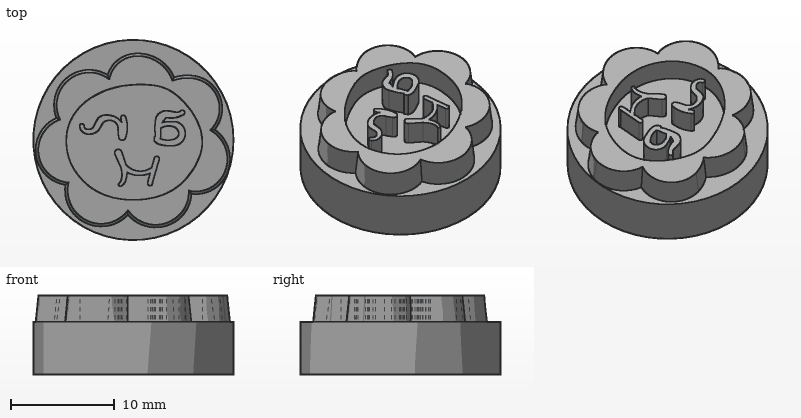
import cadquery as cq

BASE_DIAMETER = 19.3
BASE_HEIGHT = 5.08
TOTAL_HEIGHT = 7.62

FLOWER_HEIGHT = TOTAL_HEIGHT - BASE_HEIGHT
FLOWER_DRAFT = 6.0

POCKET_DEPTH = FLOWER_HEIGHT
POCKET_FLOOR = BASE_HEIGHT

PETALS = [
    ((-2.32, 5.83), (-1.55, 7.3), (0.04, 8.05)),
    ((3.76, 5.7), (4.8, 5.95), (5.87, 5.9)),
    ((7.41, 0.95), (8.97, -1.2), (8.6, -3.45)),
    ((5.3, -4.86), (5.23, -5.79), (4.88, -6.62)),
    ((-0.52, -6.77), (-5.02, -7.43), None),
    ((-6.23, -4.1), (-9.13, -1.35), None),
    ((-7.06, 1.97), (-6.33, 5.7), None),
]

POCKET_RIM = [
    (-6.47, -0.15), (-5.27, 3.05), (-2.7, 4.77), (0.5, 5.35), (3.35, 4.85), (4.86, 3.65),
    (6.06, 1.99), (6.64, -0.15), (5.89, -2.62), (3.85, -4.79), (0.0, -5.77), (-3.67, -4.86), (-5.75, -2.76),
]


def flower():
    first_notch = PETALS[0][0]
    next_notches = [petal[0] for petal in PETALS[1:]] + [first_notch]
    sketch = cq.Workplane("XY").workplane(offset=TOTAL_HEIGHT).moveTo(*first_notch)
    for (_, through, joint), next_notch in zip(PETALS, next_notches):
        if joint is None:
            sketch = sketch.threePointArc(through, next_notch)
        else:
            sketch = sketch.threePointArc(through, joint)
            sketch = sketch.tangentArcPoint(next_notch, relative=False)
    return sketch.close().extrude(-FLOWER_HEIGHT, taper=-FLOWER_DRAFT)


def pocket():
    rim = cq.Workplane("XY").workplane(offset=POCKET_FLOOR).spline(POCKET_RIM, periodic=True)
    return rim.close().extrude(POCKET_DEPTH)


def floor_sketch(start):
    return cq.Workplane("XY").workplane(offset=POCKET_FLOOR).moveTo(*start)


def left_eye():
    outline = (
        floor_sketch((-1.14, 1.72))
        .lineTo(-1.2, 2.1)
        .threePointArc((-0.95, 2.37), (-0.73, 2.15))
        .threePointArc((-0.58, 1.2), (-0.73, 0.29))
        .threePointArc((-1.05, -0.02), (-1.43, 0.37))
        .lineTo(-1.49, 0.98)
        .spline(
            [(-1.52, 1.39), (-1.81, 1.75), (-2.35, 1.9), (-2.85, 1.72), (-3.34, 0.95),
             (-3.76, 0.65), (-4.28, 0.55), (-4.79, 0.7), (-5.17, 1.27)],
            includeCurrent=True,
        )
        .threePointArc((-4.98, 1.56), (-4.75, 1.39))
        .spline(
            [(-4.61, 1.1), (-4.36, 1.02), (-3.92, 1.15), (-3.7, 1.52), (-3.34, 2.16),
             (-2.53, 2.41), (-1.81, 2.25), (-1.14, 1.72)],
            includeCurrent=True,
        )
    )
    return outline.close().extrude(POCKET_DEPTH)


def right_eye():
    outline = (
        floor_sketch((2.78, 1.68))
        .lineTo(3.15, 2.16)
        .spline([(4.25, 2.18), (4.79, 2.41)], includeCurrent=True)
        .threePointArc((4.82, 2.84), (4.54, 2.8))
        .spline([(4.25, 2.66), (3.65, 2.76), (3.07, 2.82), (2.41, 2.5), (2.12, 1.9)], includeCurrent=True)
        .threePointArc((2.07, 1.12), (2.12, 0.37))
        .lineTo(1.99, 0.25)
        .lineTo(2.03, -0.12)
        .spline([(2.41, -0.4), (3.15, -0.55), (3.95, -0.55)], includeCurrent=True)
        .threePointArc((5.0, 0.62), (3.95, 1.78))
        .lineTo(3.22, 1.78)
    )
    opening = (
        floor_sketch((2.65, 1.14))
        .spline([(3.07, 1.31), (3.51, 1.35), (3.98, 1.24), (4.36, 0.73), (4.01, 0.12)], includeCurrent=True)
        .threePointArc((3.3, -0.02), (2.6, 0.12))
    )
    return outline.close().extrude(POCKET_DEPTH).cut(opening.close().extrude(POCKET_DEPTH))


def mouth():
    outline = (
        floor_sketch((-0.7, -2.41))
        .threePointArc((0.52, -3.0), (1.75, -2.66))
        .lineTo(2.03, -1.72)
        .threePointArc((2.32, -1.58), (2.49, -1.85))
        .lineTo(1.83, -4.11)
        .threePointArc((1.58, -4.4), (1.37, -4.11))
        .lineTo(1.6, -3.2)
        .threePointArc((0.52, -3.42), (-0.6, -3.13))
        .spline([(-0.68, -3.65), (-0.8, -4.03), (-1.08, -4.36)], includeCurrent=True)
        .threePointArc((-1.27, -4.45), (-1.45, -4.27))
        .spline([(-1.15, -3.82), (-1.1, -3.25), (-1.2, -2.66)], includeCurrent=True)
        .lineTo(-1.78, -1.39)
        .threePointArc((-1.5, -0.9), (-1.12, -1.15))
    )
    return outline.close().extrude(POCKET_DEPTH)


base = cq.Workplane("XY").circle(BASE_DIAMETER / 2).extrude(BASE_HEIGHT)
result = base.union(flower()).cut(pocket())
for feature in (left_eye(), right_eye(), mouth()):
    result = result.union(feature)